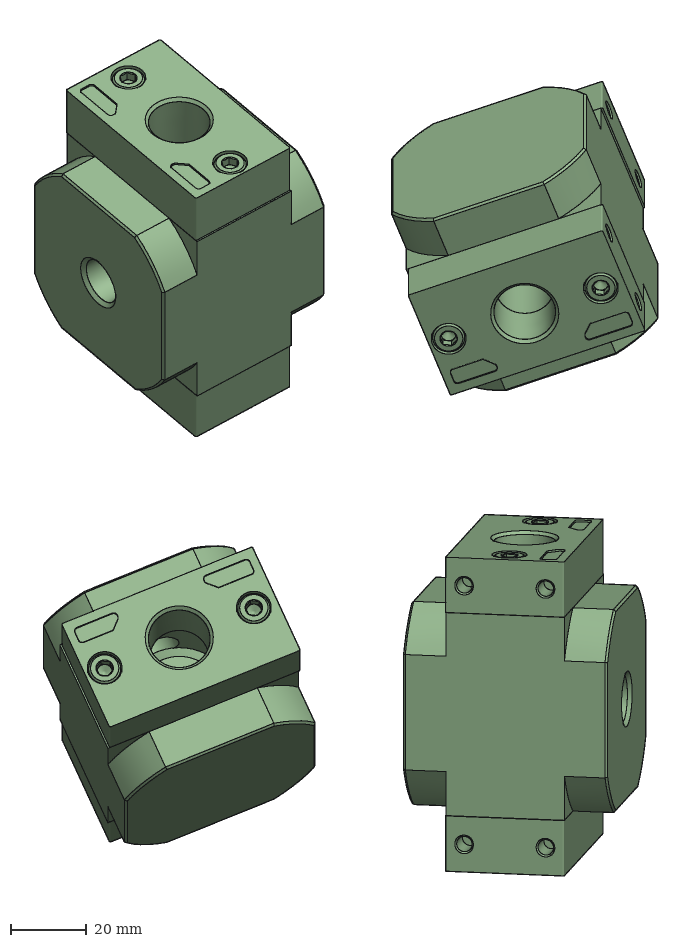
import cadquery as cq
import math

HOUSING_SIZE = 55.0
CORE_DEPTH = 32.0
FLANGE_ROUND_DIAMETER = 63.2
FLANGE_CHAMFER = 0.6
HALF_HOUSING = HOUSING_SIZE / 2

TOTAL_HEIGHT = 85.0
PLATE_HEIGHT = (TOTAL_HEIGHT - HOUSING_SIZE) / 2
PLATE_OFFSET = -0.5
PLATE_LEFT = -HALF_HOUSING + PLATE_OFFSET
PLATE_RIGHT = HALF_HOUSING + PLATE_OFFSET
PLATE_EDGE_RADIUS = 0.4
HALF_HEIGHT = TOTAL_HEIGHT / 2

PORT_DIAMETER = 15.6
PORT_MOUTH_DIAMETER = 18.0
PORT_TAPER_DIAMETER = 16.3
CHAMBER_DIAMETER = 29.7

BRANCH_DIAMETER = 11.6
BRANCH_TAPER_DIAMETER = 12.7
BRANCH_TAPER_DEPTH = 15.3
BRANCH_MOUTH_DIAMETER = 14.8
BRANCH_END_Y = CORE_DEPTH / 2

SEAT_TIP_DIAMETER = 22.0
SEAT_TAPER_HEIGHT = 3.5

SCREW_X = 21.5
SCREW_DIAMETER = 5.0
SCREW_END = 15.3
HEAD_DIAMETER = 8.5
HEAD_TOP_DIAMETER = 7.5
HEAD_HEIGHT = 5.0
HEAD_RECESS = 0.2
COUNTERBORE_DIAMETER = 9.2
SOCKET_FLATS = 4.0
SOCKET_MOUTH_DIAMETER = 4.6
SOCKET_DEPTH = 2.55
DRILL_POINT_ANGLE = 118.0

SIDE_HOLE_DIAMETER = 4.2
SIDE_HOLE_MOUTH_DIAMETER = 5.0
SIDE_HOLE_DEPTH = 8.5
SIDE_HOLE_Y = 11.0

LABEL_EDGE_GAP = 2.3
LABEL_TOP_Y = -8.9
LABEL_BOTTOM_Y = -13.4
LABEL_TIP_X = 12.5
LABEL_SLANT = 2.7
LABEL_DEPTH = 0.5
LABEL_CORNER_RADIUS = 1.0


def vertical_cylinder(diameter, bottom, top, x=0.0):
    return cq.Workplane("XY", origin=(x, 0, bottom)).circle(diameter / 2).extrude(top - bottom)


def cone(large_diameter, small_diameter, height, base, direction):
    """Cone frustum starting with its large end at base and narrowing along direction."""
    large_radius = large_diameter / 2
    small_radius = small_diameter / 2
    solid = cq.Solid.makeCone(large_radius, small_radius, height, cq.Vector(*base), cq.Vector(*direction))
    return cq.Workplane(solid)


def countersink(mouth_diameter, hole_diameter, mouth, direction):
    return cone(mouth_diameter, hole_diameter, (mouth_diameter - hole_diameter) / 2, mouth, direction)


def make_housing():
    flanges = (
        cq.Workplane("XY")
        .box(HOUSING_SIZE, HOUSING_SIZE, HOUSING_SIZE)
        .intersect(
            cq.Workplane("XZ").circle(FLANGE_ROUND_DIAMETER / 2).extrude(HALF_HOUSING, both=True)
        )
        .faces("<Y or >Y")
        .chamfer(FLANGE_CHAMFER)
    )
    core = cq.Workplane("XY").box(HOUSING_SIZE, CORE_DEPTH, HOUSING_SIZE)
    branch = (
        cq.Workplane("XZ", origin=(0, BRANCH_END_Y, 0))
        .circle(BRANCH_DIAMETER / 2)
        .extrude(BRANCH_END_Y + HALF_HOUSING)
    )
    mouth = (0, -HALF_HOUSING, 0)
    inward = (0, 1, 0)
    housing = (
        flanges.union(core)
        .cut(vertical_cylinder(CHAMBER_DIAMETER, -HALF_HOUSING, HALF_HOUSING))
        .cut(branch)
        .cut(cone(BRANCH_TAPER_DIAMETER, BRANCH_DIAMETER, BRANCH_TAPER_DEPTH, mouth, inward))
        .cut(countersink(BRANCH_MOUTH_DIAMETER, BRANCH_TAPER_DIAMETER, mouth, inward))
    )
    for x in (-SCREW_X, SCREW_X):
        housing = housing.cut(vertical_cylinder(SCREW_DIAMETER, SCREW_END, HALF_HOUSING, x))
        housing = housing.cut(vertical_cylinder(SCREW_DIAMETER, -HALF_HOUSING, -SCREW_END, x))
    return housing


def make_seat():
    body = vertical_cylinder(CHAMBER_DIAMETER, -HALF_HOUSING, -SEAT_TAPER_HEIGHT)
    taper_base = (0, 0, -SEAT_TAPER_HEIGHT)
    taper = cone(CHAMBER_DIAMETER, SEAT_TIP_DIAMETER, SEAT_TAPER_HEIGHT, taper_base, (0, 0, 1))
    return body.union(taper).cut(vertical_cylinder(PORT_DIAMETER, -HALF_HOUSING, 0))


def make_label_recess(side, plate_edge):
    """Recess with one slanted corner pointing at the port; side is -1 at left, 1 at right."""
    outer_x = plate_edge - side * LABEL_EDGE_GAP
    tip_x = side * LABEL_TIP_X
    recess = (
        cq.Workplane("XY", origin=(0, 0, HALF_HEIGHT - LABEL_DEPTH))
        .moveTo(outer_x, LABEL_BOTTOM_Y)
        .lineTo(outer_x, LABEL_TOP_Y)
        .lineTo(tip_x + side * LABEL_SLANT, LABEL_TOP_Y)
        .lineTo(tip_x, LABEL_TOP_Y - LABEL_SLANT)
        .lineTo(tip_x, LABEL_BOTTOM_Y)
        .close()
        .extrude(LABEL_DEPTH)
    )
    outer_edges = "<X" if side < 0 else ">X"
    tip_edges = ">X" if side < 0 else "<X"
    return (
        recess.faces(outer_edges).edges("|Z").fillet(LABEL_CORNER_RADIUS)
        .faces(tip_edges).edges("|Z").fillet(LABEL_CORNER_RADIUS)
    )


def make_top_plate():
    middle_z = HALF_HEIGHT - PLATE_HEIGHT / 2
    head_seat_z = HALF_HEIGHT - HEAD_RECESS - HEAD_HEIGHT
    plate = (
        cq.Workplane("XY", origin=(PLATE_OFFSET, 0, middle_z))
        .box(HOUSING_SIZE, CORE_DEPTH, PLATE_HEIGHT)
        .edges("|Z")
        .fillet(PLATE_EDGE_RADIUS)
        .cut(vertical_cylinder(PORT_DIAMETER, HALF_HOUSING, HALF_HEIGHT))
        .cut(cone(PORT_TAPER_DIAMETER, PORT_DIAMETER, PLATE_HEIGHT, (0, 0, HALF_HEIGHT), (0, 0, -1)))
        .cut(countersink(PORT_MOUTH_DIAMETER, PORT_TAPER_DIAMETER, (0, 0, HALF_HEIGHT), (0, 0, -1)))
    )
    for x in (-SCREW_X, SCREW_X):
        plate = plate.cut(vertical_cylinder(SCREW_DIAMETER, HALF_HOUSING, HALF_HEIGHT, x))
        plate = plate.cut(vertical_cylinder(COUNTERBORE_DIAMETER, head_seat_z, HALF_HEIGHT, x))
    for y in (-SIDE_HOLE_Y, SIDE_HOLE_Y):
        mouth = (PLATE_LEFT, y, middle_z)
        hole = cq.Workplane("YZ", origin=mouth).circle(SIDE_HOLE_DIAMETER / 2).extrude(SIDE_HOLE_DEPTH)
        plate = plate.cut(hole)
        plate = plate.cut(countersink(SIDE_HOLE_MOUTH_DIAMETER, SIDE_HOLE_DIAMETER, mouth, (1, 0, 0)))
    plate = plate.cut(make_label_recess(-1, PLATE_LEFT))
    return plate.cut(make_label_recess(1, PLATE_RIGHT))


def make_top_screw(x):
    head_top = HALF_HEIGHT - HEAD_RECESS
    head_bottom = head_top - HEAD_HEIGHT
    socket_bottom = head_top - SOCKET_DEPTH
    point_height = SOCKET_FLATS / 2 / math.tan(math.radians(DRILL_POINT_ANGLE / 2))
    head = (
        vertical_cylinder(HEAD_DIAMETER, head_bottom, head_top, x)
        .faces(">Z")
        .chamfer((HEAD_DIAMETER - HEAD_TOP_DIAMETER) / 2)
    )
    socket = (
        cq.Workplane("XY", origin=(x, 0, socket_bottom))
        .polygon(6, SOCKET_FLATS, circumscribed=True)
        .extrude(SOCKET_DEPTH)
    )
    return (
        head.union(vertical_cylinder(SCREW_DIAMETER, SCREW_END, head_bottom, x))
        .cut(socket)
        .cut(countersink(SOCKET_MOUTH_DIAMETER, SOCKET_FLATS, (x, 0, head_top), (0, 0, -1)))
        .cut(cone(SOCKET_FLATS, 0, point_height, (x, 0, socket_bottom), (0, 0, -1)))
    )


housing = make_housing()
seat = make_seat()
top_plate = make_top_plate()
bottom_plate = top_plate.mirror("XY")
screws = []
for screw_x in (-SCREW_X, SCREW_X):
    top_screw = make_top_screw(screw_x)
    screws.append(top_screw.val())
    screws.append(top_screw.mirror("XY").val())

result = cq.Compound.makeCompound(
    [housing.val(), seat.val(), top_plate.val(), bottom_plate.val(), *screws]
)